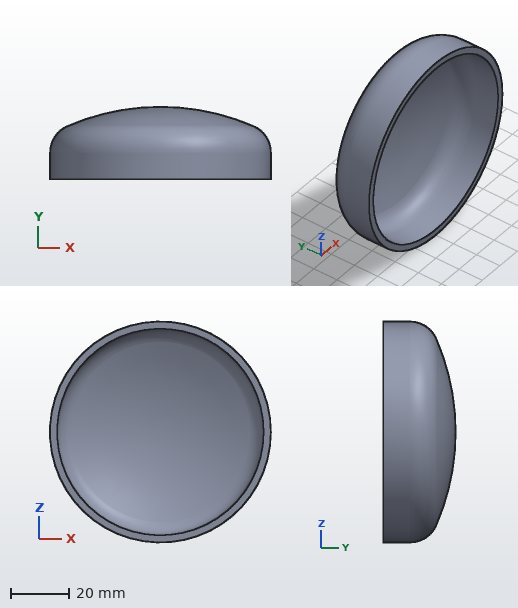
import cadquery as cq
import math

outer_diameter = 76.1
wall = 2.5
total_height = 24.95
skirt_height = 9.1
knuckle_radius = 10.0

knuckle_center_x = outer_diameter / 2 - knuckle_radius
knuckle_center_y = skirt_height

apex_rise = total_height - knuckle_center_y
crown_radius = (
    (knuckle_center_x**2 + apex_rise**2 - knuckle_radius**2)
    / (2 * (apex_rise - knuckle_radius))
)
crown_center_y = total_height - crown_radius

tangent_angle = math.atan2(knuckle_center_x, knuckle_center_y - crown_center_y)


def knuckle_point(radius, angle):
    """Point on a knuckle arc, at an angle from the cap axis."""
    return (
        knuckle_center_x + radius * math.sin(angle),
        knuckle_center_y + radius * math.cos(angle),
    )


def crown_point(radius, angle):
    """Point on a crown arc, at an angle from the cap axis."""
    return (radius * math.sin(angle), crown_center_y + radius * math.cos(angle))


def solid_dome(inset):
    """Solid of revolution bounded by the outer surface moved inward by inset."""
    knuckle = knuckle_radius - inset
    crown = crown_radius - inset
    knuckle_mid_angle = (tangent_angle + math.pi / 2) / 2
    profile = (
        cq.Workplane("XY")
        .lineTo(outer_diameter / 2 - inset, 0)
        .lineTo(outer_diameter / 2 - inset, skirt_height)
        .threePointArc(
            knuckle_point(knuckle, knuckle_mid_angle),
            knuckle_point(knuckle, tangent_angle),
        )
        .threePointArc(crown_point(crown, tangent_angle / 2), crown_point(crown, 0))
        .close()
    )
    return profile.revolve(360, (0, 0, 0), (0, 1, 0))


result = solid_dome(0).cut(solid_dome(wall))